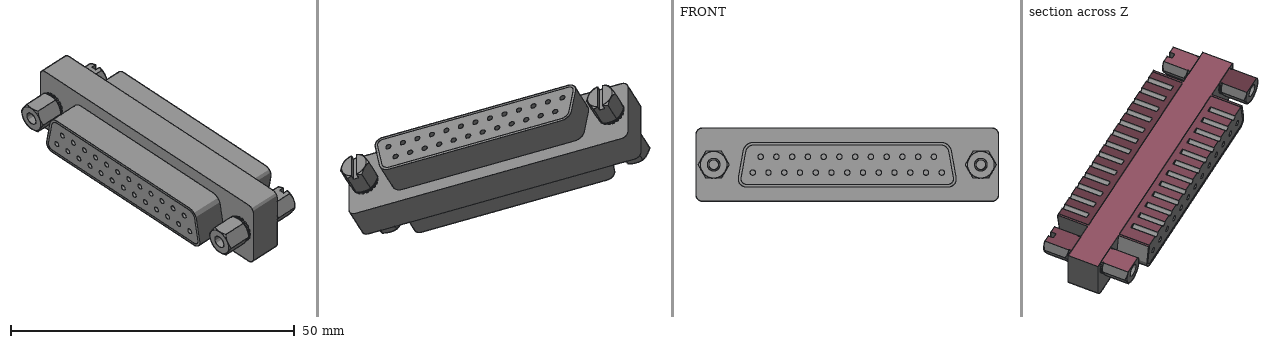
import cadquery as cq
import math


HOUSING_LENGTH = 53.35
HOUSING_DEPTH = 5.9
HOUSING_HEIGHT = 12.95
HOUSING_CORNER_RADIUS = 1.25
OVERALL_DEPTH = 17.65
SHELL_HEIGHT = 7.9
SHELL_WIDE_LENGTH = 38.95
SHELL_FLANK_ANGLE = 10.0
SHELL_WIDE_RADIUS = 1.45
SHELL_NARROW_RADIUS = 1.9
SHELL_WALL = 0.5

SOCKET_DIAMETER = 0.95
SOCKET_DEPTH = 4.8
SOCKET_PITCH = 2.8
SOCKET_ROW_SPACING = 2.8
WIDE_ROW_COUNT = 13

SCREW_SPACING = 47.05
HEX_ACROSS_FLATS = 4.75
NECK_DIAMETER = 4.5
NECK_LENGTH = 0.45
RIM_DIAMETER = 4.85
RIM_THICKNESS = 0.3
RIM_TOOTH_COUNT = 18
SCREW_END_DIAMETER = 4.7
FRONT_SCREW_LENGTH = 5.35
FRONT_SCREW_CHAMFER = 0.25
REAR_SCREW_LENGTH = 5.2
REAR_SCREW_INNER_CHAMFER = 0.3
REAR_SCREW_OUTER_CHAMFER = 0.45
REAR_SLOT_WIDTH = 0.95
REAR_SLOT_DEPTH = 0.95
SHANK_DIAMETER = 2.25
SHANK_ENGAGEMENT = 2.65
SHANK_TIP_CHAMFER = 0.25

FACE_Y = HOUSING_DEPTH / 2
SHELL_DEPTH = OVERALL_DEPTH / 2 - FACE_Y
SCREW_POSITIONS = (-SCREW_SPACING / 2, SCREW_SPACING / 2)
HEX_ACROSS_CORNERS = HEX_ACROSS_FLATS / math.cos(math.radians(30))


def shell_prism():
    """D-shaped prism standing on the front face of the housing, wide side down."""
    half_wide = SHELL_WIDE_LENGTH / 2
    half_narrow = half_wide - SHELL_HEIGHT * math.tan(math.radians(SHELL_FLANK_ANGLE))
    half_height = SHELL_HEIGHT / 2
    return (
        cq.Workplane("XZ", origin=(0, -FACE_Y, 0))
        .polyline([(-half_wide, -half_height), (half_wide, -half_height),
                   (half_narrow, half_height), (-half_narrow, half_height)])
        .close()
        .extrude(SHELL_DEPTH)
        .edges("|Y and <Z").fillet(SHELL_WIDE_RADIUS)
        .edges("|Y and >Z").fillet(SHELL_NARROW_RADIUS)
    )


def insert_prism():
    """Prism that fills the front shell inside its wall."""
    return (
        shell_prism()
        .faces("<Y").wires().toPending()
        .workplane()
        .offset2D(-SHELL_WALL)
        .extrude(-SHELL_DEPTH, combine=False)
    )


def turned_to_rear(body):
    """Half turn about X, which brings a front body to the rear with its wide side up."""
    return body.rotate((0, 0, 0), (1, 0, 0), 180)


def make_housing():
    plate = (
        cq.Workplane("XY")
        .box(HOUSING_LENGTH, HOUSING_DEPTH, HOUSING_HEIGHT)
        .edges("|Y").fillet(HOUSING_CORNER_RADIUS)
    )
    shank_holes = (
        cq.Workplane("XZ", origin=(0, FACE_Y, 0))
        .pushPoints([(x, 0) for x in SCREW_POSITIONS])
        .circle(SHANK_DIAMETER / 2)
        .extrude(HOUSING_DEPTH)
    )
    front_shell = shell_prism().cut(insert_prism())
    return plate.cut(shank_holes).union(front_shell).union(turned_to_rear(front_shell))


def socket_row(count, z):
    """Points of one row of sockets, centred on X = 0."""
    return [((i - (count - 1) / 2) * SOCKET_PITCH, z) for i in range(count)]


def make_front_insert():
    row_z = SOCKET_ROW_SPACING / 2
    sockets = (
        cq.Workplane("XZ", origin=(0, -OVERALL_DEPTH / 2, 0))
        .pushPoints(socket_row(WIDE_ROW_COUNT, -row_z) + socket_row(WIDE_ROW_COUNT - 1, row_z))
        .circle(SOCKET_DIAMETER / 2)
        .extrude(-SOCKET_DEPTH)
    )
    return insert_prism().cut(sockets)


def toothed_collar():
    """Round neck from Z = 0 upward, with a thin rim of radial teeth at its foot, like a lock washer."""
    tooth_width = math.pi * NECK_DIAMETER / RIM_TOOTH_COUNT / 2
    neck = cq.Workplane("XY").circle(NECK_DIAMETER / 2).extrude(NECK_LENGTH)
    tip_disc = cq.Workplane("XY").circle(RIM_DIAMETER / 2).extrude(RIM_THICKNESS)
    teeth = (
        cq.Workplane("XY")
        .polarArray(RIM_DIAMETER / 2, 0, 360, RIM_TOOTH_COUNT)
        .rect(RIM_DIAMETER / 2, tooth_width)
        .extrude(RIM_THICKNESS)
        .intersect(tip_disc)
    )
    return neck.union(teeth)


def hex_screw(length, inner_chamfer, outer_chamfer):
    """Hexagonal screw head along +Z with a toothed collar at Z = 0 and conical chamfers on both ends."""
    corner_radius = HEX_ACROSS_CORNERS / 2
    end_radius = SCREW_END_DIAMETER / 2
    hexagon = (
        cq.Workplane("XY", origin=(0, 0, NECK_LENGTH))
        .polygon(6, HEX_ACROSS_CORNERS)
        .extrude(length - NECK_LENGTH)
    )
    chamfer_envelope = (
        cq.Workplane("XZ")
        .polyline([(0, NECK_LENGTH), (end_radius, NECK_LENGTH),
                   (corner_radius, NECK_LENGTH + inner_chamfer),
                   (corner_radius, length - outer_chamfer),
                   (end_radius, length), (0, length)])
        .close()
        .revolve()
    )
    return hexagon.intersect(chamfer_envelope).union(toothed_collar())


def make_front_screw(x):
    """Screw with a bore right through, which takes the shank of the rear screw."""
    bore = cq.Workplane("XY").circle(SHANK_DIAMETER / 2).extrude(FRONT_SCREW_LENGTH)
    screw = hex_screw(FRONT_SCREW_LENGTH, FRONT_SCREW_CHAMFER, FRONT_SCREW_CHAMFER).cut(bore)
    return screw.rotate((0, 0, 0), (1, 0, 0), 90).translate((x, -FACE_Y, 0))


def make_rear_screw(x):
    """Slotted screw with a shank that runs through the housing into the front screw."""
    slot = cq.Workplane("XY", origin=(0, 0, REAR_SCREW_LENGTH)).box(
        REAR_SLOT_WIDTH, HEX_ACROSS_CORNERS, 2 * REAR_SLOT_DEPTH
    )
    shank = (
        cq.Workplane("XY")
        .circle(SHANK_DIAMETER / 2)
        .extrude(-(HOUSING_DEPTH + SHANK_ENGAGEMENT))
        .faces("<Z").chamfer(SHANK_TIP_CHAMFER)
    )
    head = hex_screw(REAR_SCREW_LENGTH, REAR_SCREW_INNER_CHAMFER, REAR_SCREW_OUTER_CHAMFER)
    screw = head.cut(slot).union(shank)
    return screw.rotate((0, 0, 0), (1, 0, 0), -90).translate((x, FACE_Y, 0))


housing = make_housing()
front_insert = make_front_insert()
rear_insert = turned_to_rear(front_insert)

screws = []
for screw_x in SCREW_POSITIONS:
    screws.append(make_front_screw(screw_x))
    screws.append(make_rear_screw(screw_x))

result = cq.Compound.makeCompound(
    [housing.val(), front_insert.val(), rear_insert.val(), *[screw.val() for screw in screws]]
)